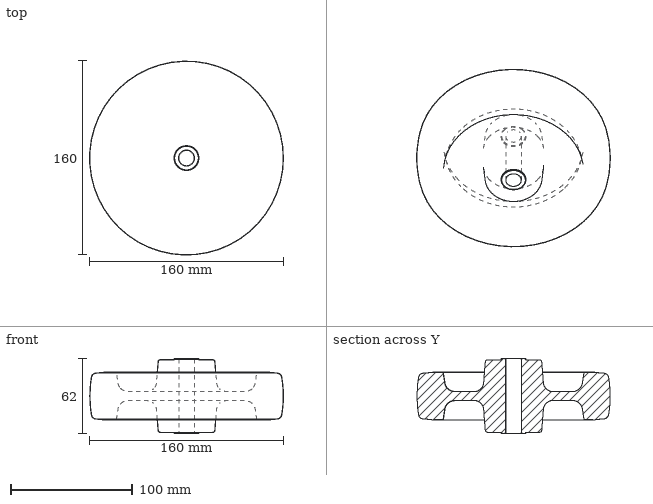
import cadquery as cq
import math

tyre_radius = 80.0
tread_edge_radius = 78.7
tread_edge_height = 15.0
shoulder_radius = 74.0
shoulder_height = 19.0
side_height = 19.8
tyre_inner_radius = 66.7

rim_seam_radius = 64.3
seam_drop = 0.2
rim_lip_radius = 59.3
lip_round = 1.6
rim_wall_bottom_radius = 56.8
web_outer_radius = 48.3
web_inner_radius = 32.5
web_height = 3.8
web_round_height = 11.8

hub_height = 30.0
hub_base_radius = 24.8
hub_edge_radius = 23.5
hub_edge_round = 2.0

bushing_height = 31.0
bushing_radius = 10.2
bushing_chamfer = 0.5
bore_radius = 6.4

DIAGONAL = math.sqrt(0.5)


def corner_arc_middle(corner_r, corner_z, start_r, end_z):
    """Middle of a quarter ellipse rounding a corner between its two tangent points."""
    pull = 1 - DIAGONAL
    return (corner_r + (start_r - corner_r) * pull, corner_z + (end_z - corner_z) * pull)


def upper_half():
    """Revolve the section above Z = 0, from the bore out to the tread."""
    tread_middle_height = tread_edge_height / 2
    tread_middle_radius = tyre_radius - (tyre_radius - tread_edge_radius) / 4
    rim_height = side_height - seam_drop
    lip_inner_radius = rim_lip_radius - lip_round

    section = (
        cq.Workplane("XZ")
        .moveTo(bore_radius, 0)
        .lineTo(tyre_radius, 0)
        .threePointArc((tread_middle_radius, tread_middle_height), (tread_edge_radius, tread_edge_height))
        .threePointArc(
            corner_arc_middle(tread_edge_radius, shoulder_height, shoulder_radius, tread_edge_height),
            (shoulder_radius, shoulder_height),
        )
        .lineTo(tyre_inner_radius, side_height)
        .lineTo(rim_seam_radius, rim_height)
        .lineTo(rim_lip_radius, rim_height)
        .threePointArc(
            corner_arc_middle(lip_inner_radius, rim_height, rim_lip_radius, rim_height - lip_round),
            (lip_inner_radius, rim_height - lip_round),
        )
        .lineTo(rim_wall_bottom_radius, web_round_height)
        .threePointArc(
            corner_arc_middle(rim_wall_bottom_radius, web_height, web_outer_radius, web_round_height),
            (web_outer_radius, web_height),
        )
        .lineTo(web_inner_radius, web_height)
        .threePointArc(
            corner_arc_middle(hub_base_radius, web_height, web_inner_radius, web_round_height),
            (hub_base_radius, web_round_height),
        )
        .lineTo(hub_edge_radius, hub_height - hub_edge_round)
        .threePointArc(
            corner_arc_middle(
                hub_edge_radius, hub_height, hub_edge_radius - hub_edge_round, hub_height - hub_edge_round
            ),
            (hub_edge_radius - hub_edge_round, hub_height),
        )
        .lineTo(bushing_radius, hub_height)
        .lineTo(bushing_radius, bushing_height - bushing_chamfer)
        .lineTo(bushing_radius - bushing_chamfer, bushing_height)
        .lineTo(bore_radius, bushing_height)
        .close()
    )
    return section.revolve(360, (0, 0, 0), (0, 1, 0))


upper = upper_half()
result = upper.union(upper.mirror("XY"))